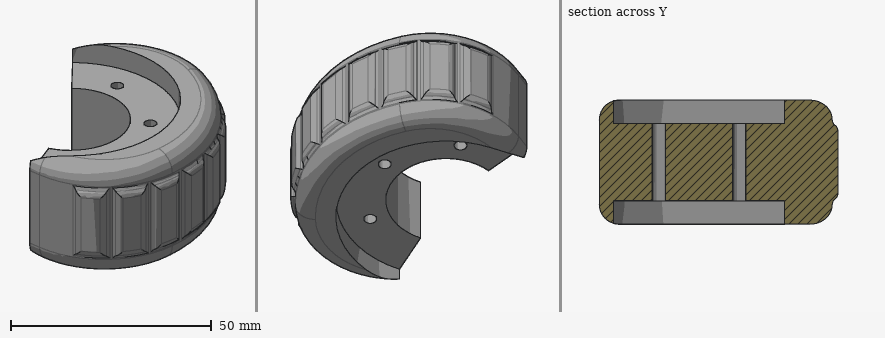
import cadquery as cq
import math

HEIGHT = 31.0
BORE_RADIUS = 15.0
CHANNEL_RADIUS = 27.4
CHANNEL_DEPTH = 5.9
RIM_FILLET = 5.0

CROWN_RADIUS = 37.5
CROWN_START = 18.3
CROWN_END = 91.7
SHOULDER_RADIUS = 25.0
START_SHOULDER_SWEEP = 82.7
END_SHOULDER_SWEEP = 79
STRAIGHT_RUN = 9.6
CUT_START = -45.4
CUT_END = 154.6

HOLE_DIAMETER = 3.2
HOLE_CIRCLE_RADIUS = 20.0
HOLE_ANGLES = (0, 60, 120)

LUG_HEIGHT = 1.2
LUG_TOP_WIDTH = 4.7
LUG_TOP_LENGTH = 15.5
LUG_CREST_RADIUS = 2.0
LUG_FOOT_RADIUS = 1.0
LUG_ROOT_DEPTH = 1.3
LUG_PITCH = 9.95
CROWN_LUGS = 5
END_SHOULDER_LUGS = 2
START_SHOULDER_LUGS = 3
LAST_CROWN_LUG_ANGLE = 91.3

ORIGIN = (0.0, 0.0)
CENTRE_OFFSET = CROWN_RADIUS - SHOULDER_RADIUS


def polar(radius, angle, centre=ORIGIN):
    """Point at a radius and an angle in degrees from a centre."""
    turn = math.radians(angle)
    return (centre[0] + radius * math.cos(turn), centre[1] + radius * math.sin(turn))


START_CENTRE = polar(CENTRE_OFFSET, CROWN_START)
END_CENTRE = polar(CENTRE_OFFSET, CROWN_END)


def rim_blank():
    """Solid sector under the outer outline, with its top and bottom rims rounded."""
    first_angle = CROWN_START - START_SHOULDER_SWEEP
    last_angle = CROWN_END + END_SHOULDER_SWEEP
    first_tangent = polar(SHOULDER_RADIUS, first_angle, START_CENTRE)
    last_tangent = polar(SHOULDER_RADIUS, last_angle, END_CENTRE)
    start_shoulder_middle = polar(SHOULDER_RADIUS, CROWN_START - START_SHOULDER_SWEEP / 2, START_CENTRE)
    end_shoulder_middle = polar(SHOULDER_RADIUS, CROWN_END + END_SHOULDER_SWEEP / 2, END_CENTRE)
    crown_middle = polar(CROWN_RADIUS, (CROWN_START + CROWN_END) / 2)
    blank = (
        cq.Workplane("XY")
        .moveTo(*polar(STRAIGHT_RUN, first_angle - 90, first_tangent))
        .lineTo(*first_tangent)
        .threePointArc(start_shoulder_middle, polar(CROWN_RADIUS, CROWN_START))
        .threePointArc(crown_middle, polar(CROWN_RADIUS, CROWN_END))
        .threePointArc(end_shoulder_middle, last_tangent)
        .lineTo(*polar(STRAIGHT_RUN, last_angle + 90, last_tangent))
        .lineTo(*ORIGIN)
        .close()
        .extrude(HEIGHT / 2, both=True)
    )
    return blank.faces("<Z or >Z").edges("%CIRCLE").fillet(RIM_FILLET)


def gap_wedge():
    """Open sector of the ring, between its two radial end faces."""
    reach = 2 * CROWN_RADIUS
    gap_middle = (CUT_START + CUT_END) / 2 + 180
    return (
        cq.Workplane("XY")
        .polyline([ORIGIN, polar(reach, CUT_END), polar(reach, gap_middle), polar(reach, CUT_START + 360)])
        .close()
        .extrude(HEIGHT, both=True)
    )


def channel(sign):
    """Round recess in the top (sign 1) or bottom (sign -1) face."""
    floor = sign * (HEIGHT / 2 - CHANNEL_DEPTH)
    return cq.Workplane("XY").workplane(offset=floor).circle(CHANNEL_RADIUS).extrude(sign * CHANNEL_DEPTH)


def lug_band(radius):
    """Full ring with the cross-section that the lugs have along Z."""
    flank = math.acos(1 - LUG_HEIGHT / (LUG_CREST_RADIUS + LUG_FOOT_RADIUS))
    crest_z = LUG_TOP_LENGTH / 2
    foot_z = crest_z + (LUG_CREST_RADIUS + LUG_FOOT_RADIUS) * math.sin(flank)
    top = radius + LUG_HEIGHT

    def crest(turn):
        return (top - LUG_CREST_RADIUS * (1 - math.cos(turn)), crest_z + LUG_CREST_RADIUS * math.sin(turn))

    def foot(turn):
        return (radius + LUG_FOOT_RADIUS * (1 - math.cos(turn)), foot_z - LUG_FOOT_RADIUS * math.sin(turn))

    half = (
        cq.Workplane("XZ")
        .moveTo(radius - LUG_ROOT_DEPTH, 0)
        .lineTo(top, 0)
        .lineTo(top, crest_z)
        .threePointArc(crest(flank / 2), crest(flank))
        .threePointArc(foot(flank / 2), (radius, foot_z))
        .lineTo(radius - LUG_ROOT_DEPTH, foot_z)
        .close()
        .revolve(360, (0, 0), (0, 1))
    )
    return half.union(half.mirror("XY"))


def lug_plan(radius):
    """Prism with the outline that a lug has around the rim, centred on +X."""
    crest_centre_radius = radius + LUG_HEIGHT - LUG_CREST_RADIUS
    foot_centre_radius = radius + LUG_FOOT_RADIUS
    between = LUG_CREST_RADIUS + LUG_FOOT_RADIUS
    crest_angle = math.degrees(LUG_TOP_WIDTH / 2 / (radius + LUG_HEIGHT))
    spread = math.degrees(math.acos(
        (crest_centre_radius**2 + foot_centre_radius**2 - between**2)
        / (2 * crest_centre_radius * foot_centre_radius)
    ))
    foot_angle = crest_angle + spread

    def flank(side):
        crest_centre = polar(crest_centre_radius, side * crest_angle)
        foot_centre = polar(foot_centre_radius, side * foot_angle)
        toward_foot = math.degrees(
            math.atan2(foot_centre[1] - crest_centre[1], foot_centre[0] - crest_centre[0])
        )
        crest_middle = polar(LUG_CREST_RADIUS, (side * crest_angle + toward_foot) / 2, crest_centre)
        joint = polar(LUG_CREST_RADIUS, toward_foot, crest_centre)
        inward = side * foot_angle - side * 180
        foot_middle = polar(LUG_FOOT_RADIUS, (toward_foot - side * 180 + inward) / 2, foot_centre)
        return crest_middle, joint, foot_middle

    left_crest, left_joint, left_foot = flank(1)
    right_crest, right_joint, right_foot = flank(-1)
    root = radius - LUG_ROOT_DEPTH
    return (
        cq.Workplane("XY")
        .moveTo(*polar(root, -foot_angle))
        .lineTo(*polar(radius, -foot_angle))
        .threePointArc(right_foot, right_joint)
        .threePointArc(right_crest, polar(radius + LUG_HEIGHT, -crest_angle))
        .threePointArc((radius + LUG_HEIGHT, 0), polar(radius + LUG_HEIGHT, crest_angle))
        .threePointArc(left_crest, left_joint)
        .threePointArc(left_foot, polar(radius, foot_angle))
        .lineTo(*polar(root, foot_angle))
        .close()
        .extrude(HEIGHT / 2, both=True)
    )


def lugs(radius, centre, angles):
    """Lugs at the given angles on an arc of the outline."""
    lug = lug_band(radius).intersect(lug_plan(radius))
    return [lug.rotate((0, 0, 0), (0, 0, 1), angle).translate((*centre, 0)) for angle in angles]


def all_lugs():
    """Row of lugs from the end shoulder, over the crown, to the start shoulder."""
    crown_step = math.degrees(LUG_PITCH / CROWN_RADIUS)
    shoulder_step = math.degrees(LUG_PITCH / SHOULDER_RADIUS)
    crown_angles = [LAST_CROWN_LUG_ANGLE - i * crown_step for i in range(CROWN_LUGS)]
    end_angles = [CROWN_END + (i + 1) * shoulder_step for i in range(END_SHOULDER_LUGS)]
    crown_left = math.radians(crown_angles[-1] - CROWN_START) * CROWN_RADIUS
    first_angle = CROWN_START - math.degrees((LUG_PITCH - crown_left) / SHOULDER_RADIUS)
    start_angles = [first_angle - i * shoulder_step for i in range(START_SHOULDER_LUGS)]
    return (
        lugs(CROWN_RADIUS, ORIGIN, crown_angles)
        + lugs(SHOULDER_RADIUS, END_CENTRE, end_angles)
        + lugs(SHOULDER_RADIUS, START_CENTRE, start_angles)
    )


def upright_cylinder(radius, centre=ORIGIN):
    """Cylinder that passes right through the ring."""
    return cq.Workplane("XY").center(*centre).circle(radius).extrude(HEIGHT, both=True)


result = rim_blank().cut(gap_wedge())
result = result.cut(upright_cylinder(BORE_RADIUS))
for face_sign in (1, -1):
    result = result.cut(channel(face_sign))
for hole_angle in HOLE_ANGLES:
    hole_centre = polar(HOLE_CIRCLE_RADIUS, hole_angle)
    result = result.cut(upright_cylinder(HOLE_DIAMETER / 2, hole_centre))
for grip in all_lugs():
    result = result.union(grip)